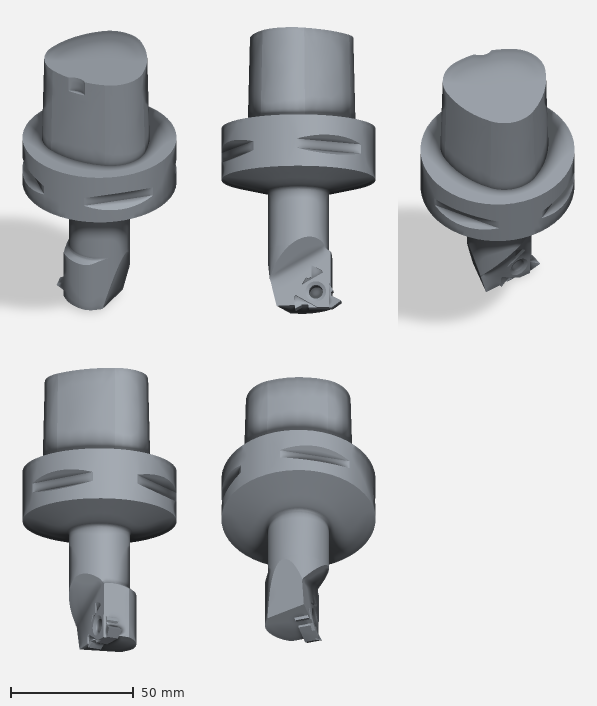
import cadquery as cq
import math


OVERALL_LENGTH = 113.6

TAPER_LENGTH = 38.0
TAPER_ANGLE = math.degrees(math.atan(1 / 40))
LOBE_COUNT = 3
LOBE_REACH = 23.5
FLAT_REACH = 20.5
LOBE_RADIUS = 14.8
NOTCH_RADIUS = 5.5
NOTCH_REACH = 17.8
NOTCH_DEPTH = 6.3

FLANGE_RADIUS = 31.5
FLANGE_THICKNESS = 21.4
CONE_BOTTOM_Z = -26.6
SHANK_RADIUS = 12.5
BLEND_RADIUS = 1.0

SLOT_COUNT = 4
FIRST_SLOT_ANGLE = 45
SLOT_FLOOR_REACH = 27.8
SLOT_FLOOR_HEIGHT = 3.8
SLOT_CENTRE_Z = -11.9
SLOT_FLANK_ANGLE = 30

HEAD_RADIUS = 15.0
HEAD_TOP_Z = -50.9
SHOULDER_DROP = 2.0
HEAD_BOTTOM_Z = -74.2
BOTTOM_TILT = 2
HEAD_CORNER_RADIUS = 7.3
HEAD_CORNER_ANGLE = 45

SEAT_ANGLE = 15
SEAT_REACH = 4.8
SIDE_REACH = 13.4
RELIEF_TOP = (12.5, -51.5)
RELIEF_BOTTOM = (7.2, -74.3)

GULLET_AXIS_Z = -62.0
GULLET_UPHILL_ANGLE = 133
GULLET_SLOPE = 1.2
GULLET_FILLET = 2.8

INSERT_TIPS = 3
INSERT_CENTRE_P = -7.4
TIP = (-10.3, -3.9)
TOOTH = (-7.0, 0.6)
INSERT_LOBE = [TOOTH, (-6.1, -0.1), (-6.31, -1.0), (-6.0, -1.4), TIP, (-6.5, -6.53)]
INSERT_THICKNESS = 6.0
INSERT_HOLE_DIAMETER = 5.7
COUNTERSINK_DIAMETER = 8.4
COUNTERSINK_ANGLE = 120
RAKE_LENGTH = 5.0
RAKE_ANGLE = SEAT_ANGLE

TIP_TURN = 360 / INSERT_TIPS
CUT = 68.2
HEAD_BLANK_Z = HEAD_BOTTOM_Z - 2.3


def turned(point, degrees):
    """A point turned about the origin."""
    angle = math.radians(degrees)
    x, y = point
    return (x * math.cos(angle) - y * math.sin(angle), x * math.sin(angle) + y * math.cos(angle))


def about_axis(body, degrees):
    """A body turned about the tool axis."""
    return body.rotate((0, 0, 0), (0, 0, 1), degrees)


INSERT_CENTRE_Z = TAPER_LENGTH - OVERALL_LENGTH - turned(TIP, TIP_TURN)[1]



def lobed_taper():
    lobe_centre = LOBE_REACH - LOBE_RADIUS
    gap = FLAT_REACH - LOBE_RADIUS
    difference = (lobe_centre**2 + gap**2 - lobe_centre * gap) / (2 * gap - lobe_centre)
    flat_centre = difference - gap
    half_turn = 180 / LOBE_COUNT
    joint_angle = math.degrees(math.asin(flat_centre * math.sin(math.radians(half_turn)) / difference))
    joint_x, joint_y = turned((LOBE_RADIUS, 0), joint_angle)
    joint = (lobe_centre + joint_x, joint_y)

    outline = cq.Workplane("XY").moveTo(*turned((joint[0], -joint[1]), 90))
    for i in range(LOBE_COUNT):
        crest_angle = 90 + i * 360 / LOBE_COUNT
        outline = outline.threePointArc(turned((LOBE_REACH, 0), crest_angle), turned(joint, crest_angle))
        next_start = turned((joint[0], -joint[1]), crest_angle + 2 * half_turn)
        outline = outline.threePointArc(turned((FLAT_REACH, 0), crest_angle + half_turn), next_start)
    taper = outline.close().extrude(TAPER_LENGTH, taper=TAPER_ANGLE)

    notch = (
        cq.Workplane("XY", origin=(0, -NOTCH_REACH - NOTCH_RADIUS, TAPER_LENGTH))
        .circle(NOTCH_RADIUS)
        .extrude(-NOTCH_DEPTH)
    )
    return taper.cut(notch)


def flange_and_shank():
    """Flange, cone and shank, with the conical shoulder that widens into the head."""
    shoulder_bottom_z = HEAD_TOP_Z - SHOULDER_DROP
    profile = [
        (0, 0),
        (FLANGE_RADIUS, 0),
        (FLANGE_RADIUS, -FLANGE_THICKNESS),
        (SHANK_RADIUS, CONE_BOTTOM_Z),
        (SHANK_RADIUS, HEAD_TOP_Z),
        (HEAD_RADIUS, shoulder_bottom_z),
        (HEAD_RADIUS, HEAD_BLANK_Z),
        (0, HEAD_BLANK_Z),
    ]
    turned_body = cq.Workplane("XZ").polyline(profile).close().revolve(360, (0, 0, 0), (0, 1, 0))
    shank_ends = cq.selectors.RadiusNthSelector(0)
    return turned_body.edges("%CIRCLE").edges(shank_ends).fillet(BLEND_RADIUS)


def head_envelope():
    """Prism that limits the head: round at the front, rounded corner, then a flat tangent to the shank."""
    flat_x, flat_y = turned((SHANK_RADIUS, 0), -HEAD_CORNER_ANGLE)
    corner_x = flat_x - (HEAD_RADIUS + flat_y) / math.tan(math.radians(HEAD_CORNER_ANGLE))
    prism = (
        cq.Workplane("XY", origin=(0, 0, HEAD_BLANK_Z))
        .moveTo(0, SHANK_RADIUS)
        .lineTo(0, HEAD_RADIUS)
        .threePointArc((-HEAD_RADIUS, 0), turned((HEAD_RADIUS, 0), -95))
        .lineTo(corner_x, -HEAD_RADIUS)
        .lineTo(flat_x, flat_y)
        .threePointArc(turned((SHANK_RADIUS, 0), 0), (0, SHANK_RADIUS))
        .close()
        .extrude(-HEAD_BLANK_Z)
    )
    corner = cq.selectors.NearestToPointSelector((corner_x, -HEAD_RADIUS, HEAD_BLANK_Z / 2))
    return prism.edges("|Z").edges(corner).fillet(HEAD_CORNER_RADIUS)


def gripper_slot():
    outer = FLANGE_RADIUS + 1.1
    floor_half = SLOT_FLOOR_HEIGHT / 2
    outer_half = floor_half + (outer - SLOT_FLOOR_REACH) * math.tan(math.radians(SLOT_FLANK_ANGLE))
    section = [
        (SLOT_FLOOR_REACH, SLOT_CENTRE_Z - floor_half),
        (outer, SLOT_CENTRE_Z - outer_half),
        (outer, SLOT_CENTRE_Z + outer_half),
        (SLOT_FLOOR_REACH, SLOT_CENTRE_Z + floor_half),
    ]
    return cq.Workplane("XZ").polyline(section).close().extrude(FLANGE_RADIUS, both=True)


def side_flat():
    block = cq.Workplane("XY").box(CUT, CUT, CUT)
    return about_axis(block.translate((-SIDE_REACH - CUT / 2, 0, HEAD_TOP_Z - CUT / 2)), SEAT_ANGLE)


def tilted_bottom():
    block = cq.Workplane("XY").box(CUT, CUT, CUT).translate((0, 0, -CUT / 2))
    return block.rotate((0, 0, 0), (0, 1, 0), BOTTOM_TILT).translate((0, 0, HEAD_BOTTOM_Z))


def sloping_relief():
    slope = (RELIEF_TOP[0] - RELIEF_BOTTOM[0]) / (RELIEF_TOP[1] - RELIEF_BOTTOM[1])
    end_x = RELIEF_TOP[0] + slope * (HEAD_BLANK_Z - RELIEF_TOP[1])
    section = [RELIEF_TOP, (end_x, HEAD_BLANK_Z), (CUT, HEAD_BLANK_Z), (CUT, RELIEF_TOP[1])]
    return cq.Workplane("XZ").polyline(section).close().extrude(CUT, both=True)


def chip_gullet():
    """Space in front of the seat face and below a sloping roof, filleted where the two meet."""
    in_front = cq.Workplane("XY").box(CUT, CUT, CUT)
    in_front = about_axis(in_front.translate((0, SEAT_REACH + CUT / 2, -CUT)), SEAT_ANGLE)
    uphill_x, uphill_y = turned((1, 0), GULLET_UPHILL_ANGLE)
    roof = cq.Plane(
        origin=(0, 0, GULLET_AXIS_Z),
        xDir=(-uphill_y, uphill_x, 0),
        normal=(-GULLET_SLOPE * uphill_x, -GULLET_SLOPE * uphill_y, 1),
    )
    below_roof = cq.Workplane(roof).rect(2 * CUT, 2 * CUT).extrude(-CUT)
    seat_x, seat_y = turned((0, SEAT_REACH), SEAT_ANGLE)
    roof_z = GULLET_AXIS_Z + GULLET_SLOPE * (seat_x * uphill_x + seat_y * uphill_y)
    inner_edge = cq.selectors.NearestToPointSelector((seat_x, seat_y, roof_z))
    return in_front.intersect(below_roof).edges(inner_edge).fillet(GULLET_FILLET)


def make_holder():
    shaft_zone = cq.Workplane("XY").workplane(offset=HEAD_TOP_Z + BLEND_RADIUS).circle(CUT).extrude(CUT)
    holder = flange_and_shank().intersect(head_envelope().union(shaft_zone))
    holder = holder.union(lobed_taper())
    for i in range(SLOT_COUNT):
        holder = holder.cut(about_axis(gripper_slot(), FIRST_SLOT_ANGLE + i * 360 / SLOT_COUNT))
    for cutter in (side_flat(), tilted_bottom(), sloping_relief(), chip_gullet()):
        holder = holder.cut(cutter)
    return holder.cut(insert_blank())



def seat_workplane():
    """Plane of the seat face before the seat angle is applied, centred on the insert."""
    return cq.Workplane("XZ", origin=(INSERT_CENTRE_P, SEAT_REACH, INSERT_CENTRE_Z))


def insert_blank():
    outline = [turned(point, i * TIP_TURN) for i in range(INSERT_TIPS) for point in INSERT_LOBE]
    return about_axis(seat_workplane().polyline(outline).close().extrude(INSERT_THICKNESS), SEAT_ANGLE)


def chip_groove(tip_number):
    """Wedge that gives one tip its rake face, deepest at the wall behind the tip."""
    depth = RAKE_LENGTH * math.tan(math.radians(RAKE_ANGLE))
    tip_p = INSERT_CENTRE_P + TIP[0]
    wedge = (
        cq.Workplane("XY", origin=(0, 0, INSERT_CENTRE_Z))
        .polyline([(tip_p, SEAT_REACH), (tip_p + RAKE_LENGTH, SEAT_REACH - depth), (tip_p + RAKE_LENGTH, SEAT_REACH)])
        .close()
        .extrude(CUT / 2, both=True)
    )
    centre = (INSERT_CENTRE_P, 0, INSERT_CENTRE_Z)
    wedge = wedge.rotate(centre, (INSERT_CENTRE_P, -1, INSERT_CENTRE_Z), tip_number * TIP_TURN)
    return about_axis(wedge, SEAT_ANGLE)


def screw_hole():
    hole = seat_workplane().circle(INSERT_HOLE_DIAMETER / 2).extrude(INSERT_THICKNESS)
    step = (COUNTERSINK_DIAMETER - INSERT_HOLE_DIAMETER) / 2
    depth = step / math.tan(math.radians(COUNTERSINK_ANGLE / 2))
    countersink = (
        seat_workplane()
        .circle(COUNTERSINK_DIAMETER / 2)
        .workplane(offset=depth)
        .circle(INSERT_HOLE_DIAMETER / 2)
        .loft()
    )
    return hole.union(countersink)


def make_insert():
    insert = insert_blank().cut(about_axis(screw_hole(), SEAT_ANGLE))
    for i in range(INSERT_TIPS):
        insert = insert.cut(chip_groove(i))
    return insert


holder = make_holder()
insert = make_insert()
result = cq.Compound.makeCompound([holder.val(), insert.val()])